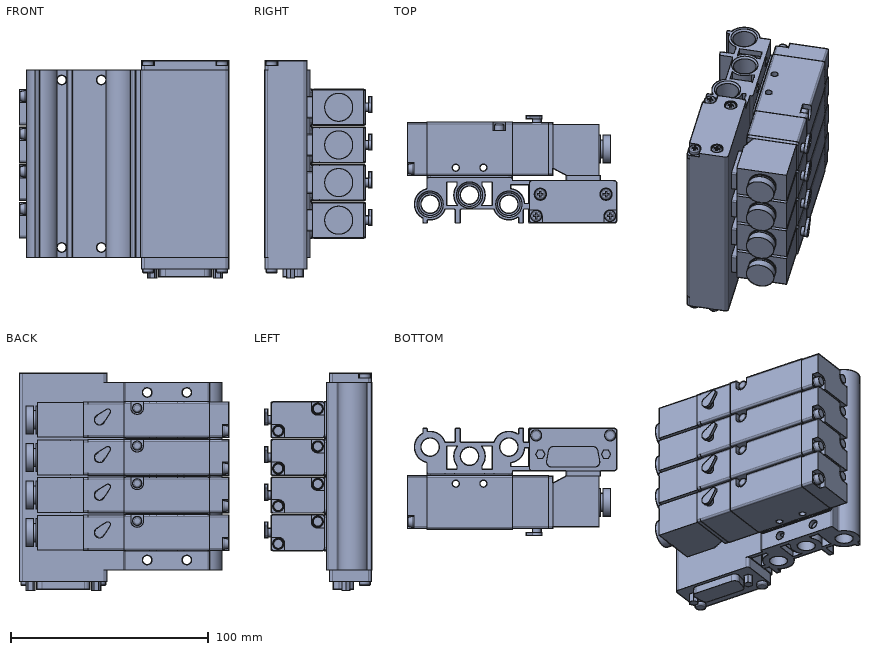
import cadquery as cq
import math


BASE_BOTTOM = 10.5
BASE_TOP = 105.4
BASE_LENGTH = BASE_TOP - BASE_BOTTOM
BASE_MIDDLE = (BASE_BOTTOM + BASE_TOP) / 2

SEAT_Y = 23.1
SEAT_ROUND = 0.8
SLAB_X0 = 9.8
SLAB_X1 = 53.2
SLAB_Y0 = 16.5
SLOT_X0 = 52.3

GALLERY_PITCH = 19.9
LEFT_GALLERY_X = 11.5
MIDDLE_GALLERY_X = LEFT_GALLERY_X + GALLERY_PITCH
RIGHT_GALLERY_X = MIDDLE_GALLERY_X + GALLERY_PITCH
OUTER_GALLERY_Y = 9.6
MIDDLE_GALLERY_Y = 14.2
GALLERIES = (
    (LEFT_GALLERY_X, OUTER_GALLERY_Y),
    (MIDDLE_GALLERY_X, MIDDLE_GALLERY_Y),
    (RIGHT_GALLERY_X, OUTER_GALLERY_Y),
)
TUBE_D = 16.0
GALLERY_D = 9.1
PORT_D = 11.5
PORT_DEPTH = 11
PORT_MOUTH_D = 13.3
PORT_MOUTH_DEPTH = (PORT_MOUTH_D - PORT_D) / 2

WEB_Y0 = 7.0
WINDOW_Y0 = 9.0
WINDOW_Y1 = 20.7
WINDOW_HALF_WIDTH = 11.5
NECK_HALF_WIDTH = 6.4

FEET_X = ((7.8, 10.0), (24.1, 26.8), (56.3, 58.7))
FOOT_ROUND = 0.5
ROOT_ROUND = 0.4

MOUNT_HOLE_D = 4.6
MOUNT_HOLE_XS = (21.4, 41.4)
MOUNT_HOLE_INSET = 5.1

HOUSING_X0 = 61.3
HOUSING_X1 = 106.0
HOUSING_Y1 = 21.6
HOUSING_INNER_ROUND = 0.7
ARM_Y0 = 19.4
LINK_Y1 = 10.0

CAP_X0 = 61.7
CAP_Y0 = 0.2
CAP_ROUND = 1.5
CAP_TOP = 110.1
CAP_BOTTOM = 4.6
CAP_MIDDLE_X = (CAP_X0 + HOUSING_X1) / 2

SCREW_D = 5.6
SCREW_ROUND = 0.7
CORNER_SCREW_XS = (CAP_MIDDLE_X - 18.7, CAP_MIDDLE_X + 18.7)
CORNER_SCREW_Y = 3.6
CORNER_SCREW_HEIGHT = 2.4
LOWER_SCREW_HEIGHT = 2.0
CORNER_POCKET_R = 3.1
POCKET_OVERSHOOT = 5.5

FLUSH_SCREW_XS = (CAP_MIDDLE_X - 16.6, CAP_MIDDLE_X + 16.6)
FLUSH_SCREW_Y = 14.6
FLUSH_POCKET_D = 6.2
FLUSH_DEPTH = 1.1

CROSS_LENGTH = 2.9
CROSS_WIDTH = 0.8
CROSS_DEPTH = 0.9

PLUG_HALF_WIDTH = 14.0
PLUG_TAPER = 1.9
PLUG_Y0 = 9.2
PLUG_Y1 = 19.7
PLUG_BOTTOM = 0.7
PLUG_ROUND = 2.6
JACK_ACROSS_CORNERS = 4.7
JACK_Y = 13.2

VALVE_COUNT = 4
VALVE_PITCH = 19.0
HALF_HEIGHT = 9.0
BODY_HALF_HEIGHT = HALF_HEIGHT + 0.1
PLATE_HALF_HEIGHT = HALF_HEIGHT - 0.1
COIL_HALF_HEIGHT = HALF_HEIGHT - 0.2
VALVE_Y0 = 24.0
VALVE_Y1 = 50.9
BODY_Y1 = 51.2
VALVE_ROUND = 1.0
END_CAP_X1 = SLAB_X0
BODY_X1 = SLAB_X1
PILOT_X1 = 71.5
PLATE_X1 = 73.5
PLATE_Y0 = 24.2
COIL_X1 = 97.0
COIL_Y1 = 50.0
COIL_SLOPE_X1 = 80.3
COIL_SLOPE_Y1 = 27.7

TERMINAL_X0 = 80.2
TERMINAL_X1 = 97.8
TERMINAL_HALF_HEIGHT = 5.5
TERMINAL_ROUND = 0.7
GASKET_HALF_HEIGHT = 9.4
GASKET_ROUND = 1.8

SIDE_HOLE_D = 3.4
SIDE_HOLE_XS = (24.4, 38.4)
SIDE_HOLE_Y = 28.1

CAP_SCREW_INSET = 3.4
CAP_SCREW_FACE_D = 4.6
CAP_SCREW_X0 = 0.2
CAP_SCREW_SHOULDER_X = 2.4
CAP_POCKET_R = 3.3
CAP_POCKET_DEPTH = 3.3

BODY_SCREW_D = 4.6
BODY_SCREW_X = 46.5
BODY_SCREW_HEIGHT = 3.3
BODY_POCKET_R = 3.2
BODY_POCKET_DEPTH = 4.4

KNOB_Y = 37.5
KNOB_D = 14.2
KNOB_NECK_D = 9.2
KNOB_X0 = 98.9
KNOB_X1 = 102.8
COLLAR_X1 = 97.8

OVERRIDE_X = 65.5
OVERRIDE_STEM_D = 4.5
LEVER_Y0 = 52.7
LEVER_Y1 = 54.4
LEVER_HUB_R = 2.6
LEVER_TIP_R = 1.3
LEVER_LENGTH = 6.0
LEVER_ANGLE = 45


def block(x0, x1, y0, y1, z0, z1):
    return cq.Workplane("XY").box(x1 - x0, y1 - y0, z1 - z0, centered=False).translate((x0, y0, z0))


def rod(axis, diameter, length, start):
    """Cylinder that runs from the point `start` along the positive `axis`."""
    return taper_rod(axis, diameter, diameter, length, start)


def taper_rod(axis, diameter_0, diameter_1, length, start):
    """Round bar along `axis` whose diameter changes from the first value to the second."""
    direction = {"X": cq.Vector(1, 0, 0), "Y": cq.Vector(0, 1, 0), "Z": cq.Vector(0, 0, 1)}[axis]
    origin = cq.Vector(*start)
    if diameter_0 == diameter_1:
        return cq.Workplane(cq.Solid.makeCylinder(diameter_0 / 2, length, origin, direction))
    return cq.Workplane(cq.Solid.makeCone(diameter_0 / 2, diameter_1 / 2, length, origin, direction))


def base_block(x0, x1, y0, y1):
    """Block that runs over the whole length of the extrusion."""
    return block(x0, x1, y0, y1, BASE_BOTTOM, BASE_TOP)


def base_rod(x, y, diameter):
    return rod("Z", diameter, BASE_LENGTH, (x, y, BASE_BOTTOM))


def tube_rise(offset):
    """Height of an outer tube's surface above its axis, `offset` away from the axis along X."""
    return math.sqrt((TUBE_D / 2) ** 2 - offset**2)


def root_corners():
    """Inner corners (x, y) of the profile that carry a small round."""
    (_, left_foot_x), rib_xs, (right_foot_x, _) = FEET_X
    return (
        (SLAB_X0, OUTER_GALLERY_Y + tube_rise(SLAB_X0 - LEFT_GALLERY_X)),
        (left_foot_x, OUTER_GALLERY_Y - tube_rise(left_foot_x - LEFT_GALLERY_X)),
        (rib_xs[0], WEB_Y0),
        (rib_xs[1], WEB_Y0),
        (right_foot_x, OUTER_GALLERY_Y - tube_rise(right_foot_x - RIGHT_GALLERY_X)),
    )


def make_profile():
    """Slab, web, tubes, arms and feet, before any hole is cut."""
    slab = base_block(SLAB_X0, SLAB_X1, ARM_Y0, SEAT_Y).edges("|Z and >Y").fillet(SEAT_ROUND)
    profile = slab.union(base_block(SLAB_X0, SLOT_X0, SLAB_Y0, ARM_Y0))
    profile = profile.union(base_block(LEFT_GALLERY_X, RIGHT_GALLERY_X, WEB_Y0, SLAB_Y0))
    profile = profile.union(base_block(SLOT_X0, HOUSING_X0, ARM_Y0, HOUSING_Y1))
    profile = profile.union(base_block(RIGHT_GALLERY_X, HOUSING_X0, WEB_Y0, LINK_Y1))
    for x in (LEFT_GALLERY_X, RIGHT_GALLERY_X):
        profile = profile.union(base_rod(x, OUTER_GALLERY_Y, TUBE_D))
    for x0, x1 in FEET_X:
        foot = base_block(x0, x1, 0, WEB_Y0).edges("|Z and <Y").fillet(FOOT_ROUND)
        profile = profile.union(foot)

    for x, y in root_corners():
        near = cq.selectors.BoxSelector(
            (x - ROOT_ROUND, y - ROOT_ROUND, BASE_BOTTOM),
            (x + ROOT_ROUND, y + ROOT_ROUND, BASE_TOP),
        )
        profile = profile.edges("|Z").edges(near).fillet(ROOT_ROUND)
    return profile


def make_windows():
    """The two openings beside the middle tube."""
    x = MIDDLE_GALLERY_X
    windows = base_block(x - WINDOW_HALF_WIDTH, x + WINDOW_HALF_WIDTH, WINDOW_Y0, WINDOW_Y1)
    neck = base_block(x - NECK_HALF_WIDTH, x + NECK_HALF_WIDTH, MIDDLE_GALLERY_Y, WINDOW_Y1)
    return windows.cut(base_rod(x, MIDDLE_GALLERY_Y, TUBE_D)).cut(neck)


def make_gallery(x, y):
    """Through bore with a wider port and a conical mouth at the top end."""
    port = rod("Z", PORT_D, PORT_DEPTH, (x, y, BASE_TOP - PORT_DEPTH))
    mouth_start = (x, y, BASE_TOP - PORT_MOUTH_DEPTH)
    mouth = taper_rod("Z", PORT_D, PORT_MOUTH_D, PORT_MOUTH_DEPTH, mouth_start)
    return base_rod(x, y, GALLERY_D).union(port).union(mouth)


def make_base():
    base = make_profile().cut(make_windows())
    for x, y in GALLERIES:
        base = base.cut(make_gallery(x, y))
    for x in MOUNT_HOLE_XS:
        for z in (BASE_BOTTOM + MOUNT_HOLE_INSET, BASE_TOP - MOUNT_HOLE_INSET):
            base = base.cut(rod("Y", MOUNT_HOLE_D, SEAT_Y, (x, 0, z)))
    return base


def cross_head(x, y, height):
    """Round screw head with a cross recess, its top level with the upper cap."""
    head = rod("Z", SCREW_D, height, (x, y, CAP_TOP - height)).faces(">Z").edges().fillet(SCREW_ROUND)
    for length, width in ((CROSS_LENGTH, CROSS_WIDTH), (CROSS_WIDTH, CROSS_LENGTH)):
        groove = cq.Workplane("XY").box(length, width, 2 * CROSS_DEPTH)
        head = head.cut(groove.translate((x, y, CAP_TOP)))
    return head


def corner_pocket(x):
    """Notch in a front corner of the upper cap, rounded around the screw."""
    side = math.copysign(1, x - CAP_MIDDLE_X)
    reach = CORNER_POCKET_R + POCKET_OVERSHOOT
    size = CORNER_POCKET_R + reach
    notch = cq.Workplane("XY").rect(size, size).extrude(CORNER_SCREW_HEIGHT)
    notch = notch.edges("|Z and >Y").edges("<X" if side > 0 else ">X").fillet(CORNER_POCKET_R)
    shift = (reach - CORNER_POCKET_R) / 2
    return notch.translate((x + side * shift, CORNER_SCREW_Y - shift, CAP_TOP - CORNER_SCREW_HEIGHT))


def cap_block(z0, z1):
    return block(CAP_X0, HOUSING_X1, CAP_Y0, HOUSING_Y1, z0, z1).edges("|Z").fillet(CAP_ROUND)


def make_upper_cap():
    cap = cap_block(BASE_TOP, CAP_TOP)
    for x in CORNER_SCREW_XS:
        cap = cap.cut(corner_pocket(x)).union(cross_head(x, CORNER_SCREW_Y, CORNER_SCREW_HEIGHT))
    for x in FLUSH_SCREW_XS:
        cap = cap.cut(rod("Z", FLUSH_POCKET_D, FLUSH_DEPTH, (x, FLUSH_SCREW_Y, CAP_TOP - FLUSH_DEPTH)))
        cap = cap.union(cross_head(x, FLUSH_SCREW_Y, FLUSH_DEPTH))
    return cap


def make_plug():
    """D-shaped connector shell below the lower cap."""
    lower_half_width = PLUG_HALF_WIDTH - PLUG_TAPER
    outline = [
        (-PLUG_HALF_WIDTH, PLUG_Y1),
        (PLUG_HALF_WIDTH, PLUG_Y1),
        (lower_half_width, PLUG_Y0),
        (-lower_half_width, PLUG_Y0),
    ]
    plug = cq.Workplane("XY").polyline(outline).close().extrude(CAP_BOTTOM - PLUG_BOTTOM)
    return plug.edges("|Z").fillet(PLUG_ROUND).translate((CAP_MIDDLE_X, 0, PLUG_BOTTOM))


def make_lower_cap():
    cap = cap_block(CAP_BOTTOM, BASE_BOTTOM).union(make_plug())
    for x in CORNER_SCREW_XS:
        head = rod("Z", SCREW_D, LOWER_SCREW_HEIGHT, (x, CORNER_SCREW_Y, CAP_BOTTOM - LOWER_SCREW_HEIGHT))
        cap = cap.union(head.faces("<Z").edges().fillet(SCREW_ROUND))
    for x in FLUSH_SCREW_XS:
        jack = cq.Workplane("XY").polygon(6, JACK_ACROSS_CORNERS).extrude(CAP_BOTTOM)
        cap = cap.union(jack.translate((x, JACK_Y, 0)))
    return cap


def make_housing():
    housing = base_block(HOUSING_X0, HOUSING_X1, 0, HOUSING_Y1)
    housing = housing.edges("|Z and >X").fillet(CAP_ROUND)
    housing = housing.edges("|Z and <X and <Y").fillet(HOUSING_INNER_ROUND)
    return housing.union(make_upper_cap()).union(make_lower_cap())


def valve_section(x0, x1, y0, y1, half_height):
    section = block(x0, x1, y0, y1, -half_height, half_height)
    return section.edges("|X").fillet(VALVE_ROUND)


def make_end_cap():
    """End cap with a recessed screw in two opposite corners."""
    cap = valve_section(0, END_CAP_X1, VALVE_Y0, VALVE_Y1, HALF_HEIGHT)
    screw_z = HALF_HEIGHT - CAP_SCREW_INSET
    for y, z, side in (
        (VALVE_Y0 + CAP_SCREW_INSET, screw_z, 1),
        (VALVE_Y1 - CAP_SCREW_INSET, -screw_z, -1),
    ):
        pocket = rod("X", 2 * CAP_POCKET_R, CAP_POCKET_DEPTH, (0, y, z))
        width = 2 * CAP_POCKET_R
        shift = side * POCKET_OVERSHOOT / 2
        middle_x = CAP_POCKET_DEPTH / 2
        to_end = cq.Workplane("XY").box(CAP_POCKET_DEPTH, width, POCKET_OVERSHOOT)
        to_side = cq.Workplane("XY").box(CAP_POCKET_DEPTH, POCKET_OVERSHOOT, width)
        pocket = pocket.union(to_end.translate((middle_x, y, z + shift)))
        pocket = pocket.union(to_side.translate((middle_x, y - shift, z)))

        face_length = CAP_SCREW_SHOULDER_X - CAP_SCREW_X0
        head = taper_rod("X", CAP_SCREW_FACE_D, SCREW_D, face_length, (CAP_SCREW_X0, y, z))
        shoulder_length = CAP_POCKET_DEPTH - CAP_SCREW_SHOULDER_X
        head = head.union(rod("X", SCREW_D, shoulder_length, (CAP_SCREW_SHOULDER_X, y, z)))
        cap = cap.cut(pocket).union(head)
    return cap


def make_body():
    """Spool body with two cross holes and a recessed fixing screw in its outer edge."""
    body = valve_section(END_CAP_X1, BODY_X1, VALVE_Y0, BODY_Y1, BODY_HALF_HEIGHT)
    floor = BODY_Y1 - BODY_POCKET_DEPTH
    screw_z = BODY_HALF_HEIGHT - BODY_POCKET_R
    start = (BODY_SCREW_X, floor, screw_z)
    pocket = rod("Y", 2 * BODY_POCKET_R, BODY_POCKET_DEPTH, start).union(
        block(
            BODY_SCREW_X - BODY_POCKET_R, BODY_SCREW_X + BODY_POCKET_R,
            floor, BODY_Y1,
            screw_z, BODY_HALF_HEIGHT,
        )
    )
    head = rod("Y", BODY_SCREW_D, BODY_SCREW_HEIGHT, start).faces(">Y").edges().fillet(SCREW_ROUND)
    body = body.cut(pocket).union(head)
    for x in SIDE_HOLE_XS:
        body = body.cut(rod("Z", SIDE_HOLE_D, 2 * BODY_HALF_HEIGHT, (x, SIDE_HOLE_Y, -BODY_HALF_HEIGHT)))
    return body


def make_coil():
    """Solenoid block with a sloped lower corner, its plug-in terminal and the end knob."""
    outline = [
        (PLATE_X1, COIL_SLOPE_Y1),
        (COIL_SLOPE_X1, PLATE_Y0),
        (COIL_X1, PLATE_Y0),
        (COIL_X1, COIL_Y1),
        (PLATE_X1, COIL_Y1),
    ]
    coil = cq.Workplane("XY").polyline(outline).close().extrude(COIL_HALF_HEIGHT, both=True)
    terminal = block(
        TERMINAL_X0, TERMINAL_X1,
        HOUSING_Y1, PLATE_Y0,
        -TERMINAL_HALF_HEIGHT, TERMINAL_HALF_HEIGHT,
    ).edges("|Y").fillet(TERMINAL_ROUND)
    coil = coil.union(terminal)
    for diameter, x0, x1 in (
        (KNOB_D, COIL_X1, COLLAR_X1),
        (KNOB_NECK_D, COLLAR_X1, KNOB_X0),
        (KNOB_D, KNOB_X0, KNOB_X1),
    ):
        coil = coil.union(rod("X", diameter, x1 - x0, (x0, KNOB_Y, 0)))
    return coil


def make_override():
    """Manual override: a round stem with a tapered lever that points to -X and +Z."""
    stem = rod("Y", OVERRIDE_STEM_D, LEVER_Y0 - VALVE_Y1, (0, VALVE_Y1, 0))
    thickness = LEVER_Y1 - LEVER_Y0
    sine = (LEVER_HUB_R - LEVER_TIP_R) / LEVER_LENGTH
    cosine = math.sqrt(1 - sine**2)
    hub_x, hub_z = -LEVER_HUB_R * sine, LEVER_HUB_R * cosine
    tip_x, tip_z = -LEVER_LENGTH - LEVER_TIP_R * sine, LEVER_TIP_R * cosine
    outline = (
        cq.Workplane("XZ", origin=(0, LEVER_Y0, 0))
        .moveTo(hub_x, hub_z)
        .threePointArc((LEVER_HUB_R, 0), (hub_x, -hub_z))
        .lineTo(tip_x, -tip_z)
        .threePointArc((-LEVER_LENGTH - LEVER_TIP_R, 0), (tip_x, tip_z))
        .close()
    )
    lever = outline.extrude(-thickness).rotate((0, 0, 0), (0, 1, 0), LEVER_ANGLE)
    return stem.union(lever).translate((OVERRIDE_X, 0, 0))


def make_valve(centre_z):
    gasket = block(
        SLAB_X0, SLAB_X1,
        SEAT_Y, VALVE_Y0,
        -GASKET_HALF_HEIGHT, GASKET_HALF_HEIGHT,
    ).edges("|Y").fillet(GASKET_ROUND)
    pilot = valve_section(BODY_X1, PILOT_X1, VALVE_Y0, VALVE_Y1, HALF_HEIGHT)
    plate = valve_section(PILOT_X1, PLATE_X1, PLATE_Y0, VALVE_Y1, PLATE_HALF_HEIGHT)
    valve = make_body().union(gasket).union(make_end_cap()).union(pilot).union(plate)
    valve = valve.union(make_coil()).union(make_override())
    return valve.translate((0, 0, centre_z))


manifold = make_base().union(make_housing())

valves = []
for index in range(VALVE_COUNT):
    offset = (index - (VALVE_COUNT - 1) / 2) * VALVE_PITCH
    valves.append(make_valve(BASE_MIDDLE + offset).solids().val())

result = cq.Compound.makeCompound([manifold.solids().val(), *valves])